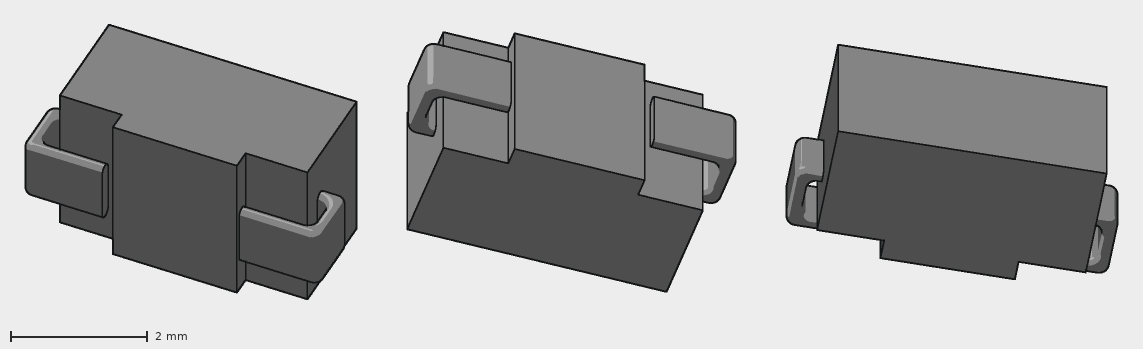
import cadquery as cq

overall_length = 4.8
overall_depth = 2.16
overall_height = 2.5

housing_length = 4.0
housing_depth = 2.01
pad_length = 2.0
pad_depth = 0.3

lead_depth = 1.0
lead_height = 1.0
lead_thickness = 0.2
foot_length = 1.295
bend_radius = 0.15
edge_flat = 0.0025
edge_round = (lead_thickness - edge_flat) / 2

lead_front = -overall_depth / 2
lead_back = lead_front + lead_depth
housing_back = overall_depth / 2
pad_front = housing_back - housing_depth
housing_front = pad_front + pad_depth
lead_outer_x = -overall_length / 2
foot_end_x = lead_outer_x + foot_length
housing_end_x = -housing_length / 2


def make_housing():
    """Block with the pad standing forward from its front face."""
    block_depth = housing_back - housing_front
    block = cq.Workplane("XY").box(housing_length, block_depth, overall_height)
    block = block.translate((0, (housing_back + housing_front) / 2, 0))
    pad = cq.Workplane("XY").box(pad_length, pad_depth, overall_height)
    pad = pad.translate((0, pad_front + pad_depth / 2, 0))
    return block.union(pad)


def make_left_lead():
    """C-shaped strip: a short arm butting on the housing end, a side wall and a long foot."""
    strip = (
        cq.Workplane("XY")
        .workplane(offset=-lead_height / 2)
        .moveTo(housing_end_x, lead_back)
        .lineTo(lead_outer_x, lead_back)
        .lineTo(lead_outer_x, lead_front)
        .lineTo(foot_end_x, lead_front)
        .lineTo(foot_end_x, lead_front + lead_thickness)
        .lineTo(lead_outer_x + lead_thickness, lead_front + lead_thickness)
        .lineTo(lead_outer_x + lead_thickness, lead_back - lead_thickness)
        .lineTo(housing_end_x, lead_back - lead_thickness)
        .close()
        .extrude(lead_height)
    )

    cut_end_x = (housing_end_x, foot_end_x)
    bend_corners = strip.edges("|Z").filter(lambda edge: is_away_from(edge, cut_end_x))
    strip = strip.newObject(bend_corners.vals()).fillet(bend_radius)

    long_edges = strip.faces("<Z or >Z").edges().filter(lambda edge: is_away_from(edge, cut_end_x))
    return strip.newObject(long_edges.vals()).fillet(edge_round)


def is_away_from(edge, x_positions):
    """True when the edge is not centred on any of the given X positions."""
    tolerance = 4.8e-05
    return all(abs(edge.Center().x - x) > tolerance for x in x_positions)


housing = make_housing()
left_lead = make_left_lead()
right_lead = left_lead.mirror("YZ")

result = cq.Compound.makeCompound([housing.val(), left_lead.val(), right_lead.val()])